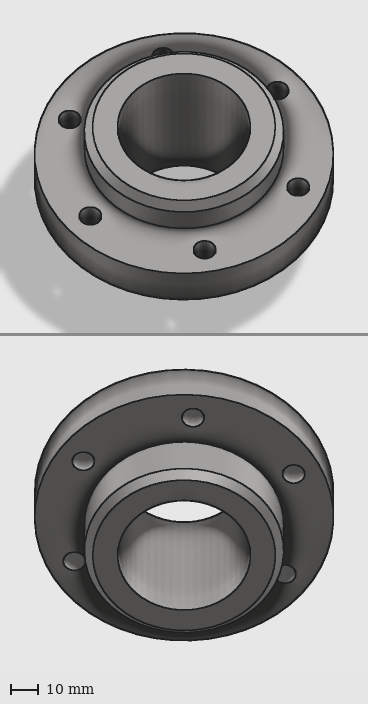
import cadquery as cq
import math

flange_diameter = 108.0
hub_diameter = 72.0
bore_diameter = 48.0

lower_hub_height = 24.0
flange_thickness = 16.0
upper_hub_height = 16.0

chamfer_size = 3.0
lower_relief_radius = 4.0
upper_relief_radius = 3.0

bolt_hole_diameter = 8.0
bolt_circle_diameter = 88.0
bolt_hole_count = 6

hub_radius = hub_diameter / 2
flange_radius = flange_diameter / 2
bore_radius = bore_diameter / 2
flange_bottom_z = lower_hub_height
flange_top_z = flange_bottom_z + flange_thickness
total_height = flange_top_z + upper_hub_height


def relief_midpoint(flange_face_z, relief_radius, direction):
    """Middle of a quarter-round relief centred where the hub meets a flange face."""
    offset = relief_radius * math.cos(math.radians(45))
    return (hub_radius - offset, flange_face_z + direction * offset)


def make_body():
    """Revolve the half section (radius, z) of the bored hub and flange about Z."""
    section = (
        cq.Workplane("XZ")
        .moveTo(bore_radius, 0)
        .lineTo(hub_radius - chamfer_size, 0)
        .lineTo(hub_radius, chamfer_size)
        .lineTo(hub_radius, flange_bottom_z - lower_relief_radius)
        .threePointArc(
            relief_midpoint(flange_bottom_z, lower_relief_radius, -1),
            (hub_radius - lower_relief_radius, flange_bottom_z),
        )
        .lineTo(flange_radius, flange_bottom_z)
        .lineTo(flange_radius, flange_top_z)
        .lineTo(hub_radius - upper_relief_radius, flange_top_z)
        .threePointArc(
            relief_midpoint(flange_top_z, upper_relief_radius, 1),
            (hub_radius, flange_top_z + upper_relief_radius),
        )
        .lineTo(hub_radius, total_height - chamfer_size)
        .lineTo(hub_radius - chamfer_size, total_height)
        .lineTo(bore_radius, total_height)
        .close()
    )
    return section.revolve(360, (0, 0, 0), (0, 1, 0))


def make_bolt_holes():
    """Ring of cylinders that pass through the flange, the first one on +X."""
    return (
        cq.Workplane("XY")
        .workplane(offset=flange_bottom_z)
        .polarArray(bolt_circle_diameter / 2, 0, 360, bolt_hole_count)
        .circle(bolt_hole_diameter / 2)
        .extrude(flange_thickness)
    )


result = make_body().cut(make_bolt_holes())